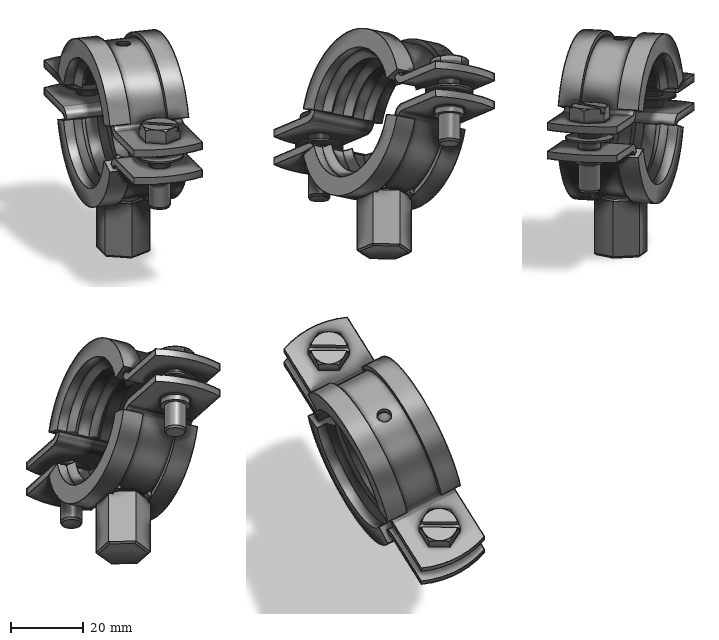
import cadquery as cq
import math


length = 81.5
band_width = 19.95
band_thickness = 2.0
band_outer_radius = 22.0
lug_half_gap = 3.0
lug_tip_rise = 2.0
bend_inner_radius = 1.7
center_hole_diameter = 4.0
collar_diameter = 8.0
collar_height = 1.95
collar_flare = 0.3

liner_width = 23.0
liner_outer_radius = 23.5
liner_bore_radius = 18.2
rib_tip_radius = 16.0
rib_base_width = 3.4
rib_pitch = 6.9
lip_gap = 10.9

screw_spacing = 62.4
screw_diameter = 6.0
head_across_flats = 9.9
head_height = 4.0
head_chamfer_height = 0.5
slot_width = 1.6
slot_depth = 1.55
slot_angle = 60.0
screw_end_depth = 15.1
screw_end_chamfer_height = 0.65
screw_end_chamfer_inset = 0.3
washer_diameter = 13.2
washer_thickness = 0.5

boss_across_flats = 13.0
boss_bottom_depth = 38.5
boss_chamfer = 0.5
weld_radius = 0.8
weld_length = 13.0
weld_offset = 4.9
weld_depth = 21.7

half_length = length / 2
band_inner_radius = band_outer_radius - band_thickness
lug_top = lug_half_gap + band_thickness
bend_outer_radius = bend_inner_radius + band_thickness
bend_center_z = lug_top + bend_inner_radius
bend_center_distance = band_outer_radius + bend_inner_radius
end_angle = math.degrees(math.asin(bend_center_z / bend_center_distance))
bend_center_x = math.sqrt(bend_center_distance**2 - bend_center_z**2)
bend_middle_angle = (180 + end_angle + 270) / 2
hex_corner_ratio = 2 / math.sqrt(3)
screw_positions = [-screw_spacing / 2, screw_spacing / 2]


def polar(radius, angle, center=(0.0, 0.0)):
    """Point at a radius and an angle in degrees about a center."""
    turn = math.radians(angle)
    return (center[0] + radius * math.cos(turn), center[1] + radius * math.sin(turn))


def mirrored(point):
    """The same point on the other side of the Z axis."""
    return (-point[0], point[1])


def cylinder(diameter, bottom, top, x=0.0):
    """Upright cylinder between two heights."""
    return cq.Workplane("XY", origin=(x, 0, bottom)).circle(diameter / 2).extrude(top - bottom)


def hex_prism(across_flats, bottom, top, x=0.0):
    """Upright hexagonal prism with corners pointing along X."""
    corner_diameter = across_flats * hex_corner_ratio
    return cq.Workplane("XY", origin=(x, 0, bottom)).polygon(6, corner_diameter).extrude(top - bottom)


def turned_to_lower(body):
    """Turn an upper clamp part over to the lower side."""
    return body.rotate((0, 0, 0), (1, 0, 0), 180)


def make_band():
    """Upper half band: an arched strip that bends out into two flat lugs with rounded tips."""
    bend_center = (bend_center_x, bend_center_z)
    outer_end = polar(band_outer_radius, end_angle)
    inner_end = polar(band_inner_radius, end_angle)
    small_bend_middle = polar(bend_inner_radius, bend_middle_angle, bend_center)
    large_bend_middle = polar(bend_outer_radius, bend_middle_angle, bend_center)
    strip = (
        cq.Workplane("XZ")
        .moveTo(half_length, lug_half_gap)
        .lineTo(half_length, lug_top)
        .lineTo(bend_center_x, lug_top)
        .threePointArc(small_bend_middle, outer_end)
        .threePointArc((0, band_outer_radius), mirrored(outer_end))
        .threePointArc(mirrored(small_bend_middle), (-bend_center_x, lug_top))
        .lineTo(-half_length, lug_top)
        .lineTo(-half_length, lug_half_gap)
        .lineTo(-bend_center_x, lug_half_gap)
        .threePointArc(mirrored(large_bend_middle), mirrored(inner_end))
        .threePointArc((0, band_inner_radius), inner_end)
        .threePointArc(large_bend_middle, (bend_center_x, lug_half_gap))
        .close()
        .extrude(band_width / 2, both=True)
    )
    corner_x = half_length - lug_tip_rise
    half_width = band_width / 2
    plan = (
        cq.Workplane("XY")
        .moveTo(-corner_x, -half_width)
        .lineTo(corner_x, -half_width)
        .threePointArc((half_length, 0), (corner_x, half_width))
        .lineTo(-corner_x, half_width)
        .threePointArc((-half_length, 0), (-corner_x, -half_width))
        .close()
        .extrude(band_outer_radius)
    )
    return strip.intersect(plan)


def make_upper_band():
    """Upper band with its center hole and plain screw holes."""
    band = make_band().cut(cylinder(center_hole_diameter, 0, band_outer_radius))
    for x in screw_positions:
        band = band.cut(cylinder(screw_diameter, 0, lug_top, x))
    return band


def make_lower_band():
    """Lower band with a flared collar round each screw hole on the far side of the lug."""
    band = turned_to_lower(make_band())
    collar_bottom = -lug_top - collar_height
    for x in screw_positions:
        collar = cylinder(collar_diameter, collar_bottom, -lug_top, x)
        flare = (
            cq.Workplane("XY", origin=(x, 0, -lug_top))
            .circle(collar_diameter / 2 + collar_flare)
            .workplane(offset=-collar_flare)
            .circle(collar_diameter / 2)
            .loft()
        )
        band = band.union(collar).union(flare)
        band = band.cut(cylinder(screw_diameter, collar_bottom, 0, x))
    return band


def make_upper_liner():
    """Upper rubber liner: ribbed bore, with lips that wrap round both edges of the band."""
    half_width = liner_width / 2
    half_base = rib_base_width / 2
    outline = cq.Workplane("XY").moveTo(liner_bore_radius, -half_width)
    for center in [-rib_pitch, 0, rib_pitch]:
        outline = (
            outline.lineTo(liner_bore_radius, center - half_base)
            .lineTo(rib_tip_radius, center)
            .lineTo(liner_bore_radius, center + half_base)
        )
    outline = (
        outline.lineTo(liner_bore_radius, half_width)
        .lineTo(liner_outer_radius, half_width)
        .lineTo(liner_outer_radius, lip_gap / 2)
        .lineTo(band_outer_radius, lip_gap / 2)
        .lineTo(band_outer_radius, band_width / 2)
        .lineTo(band_inner_radius, band_width / 2)
        .lineTo(band_inner_radius, -band_width / 2)
        .lineTo(band_outer_radius, -band_width / 2)
        .lineTo(band_outer_radius, -lip_gap / 2)
        .lineTo(liner_outer_radius, -lip_gap / 2)
        .lineTo(liner_outer_radius, -half_width)
        .close()
    )
    arch = outline.revolve(180 - 2 * end_angle, (0, 0, 0), (0, -1, 0))
    return arch.rotate((0, 0, 0), (0, -1, 0), end_angle)


def make_screw(x):
    """Slotted hexagon head screw standing on the upper lug."""
    head_top = lug_top + head_height
    chamfered_round = (
        cylinder(head_across_flats * hex_corner_ratio, lug_top, head_top, x)
        .faces(">Z")
        .chamfer(head_chamfer_height, head_across_flats * (hex_corner_ratio - 1) / 2)
    )
    head = hex_prism(head_across_flats, lug_top, head_top, x).intersect(chamfered_round)
    slot = (
        cq.Workplane("XY", origin=(x, 0, head_top - slot_depth))
        .transformed(rotate=(0, 0, slot_angle))
        .rect(2 * head_across_flats, slot_width)
        .extrude(slot_depth)
    )
    shank = (
        cylinder(screw_diameter, -screw_end_depth, lug_top, x)
        .faces("<Z")
        .chamfer(screw_end_chamfer_height, screw_end_chamfer_inset)
    )
    return head.cut(slot).union(shank)


def make_washer(x):
    """Thin retaining washer on the screw, midway between the lugs."""
    half_thickness = washer_thickness / 2
    disc = cylinder(washer_diameter, -half_thickness, half_thickness, x)
    return disc.cut(cylinder(screw_diameter, -half_thickness, half_thickness, x))


def make_boss():
    """Hexagonal connection boss under the lower band, with two weld beads that join it to the band."""
    boss = hex_prism(boss_across_flats, -boss_bottom_depth, -band_outer_radius)
    boss = boss.faces("<Z or >Z").chamfer(boss_chamfer)
    band_space = cq.Workplane("XZ").circle(band_outer_radius).extrude(liner_width / 2, both=True)
    for y in [-weld_offset, weld_offset]:
        bead = (
            cq.Workplane("YZ")
            .center(y, -weld_depth)
            .circle(weld_radius)
            .extrude(weld_length / 2, both=True)
        )
        boss = boss.union(bead.cut(band_space))
    lip_space = cq.Workplane("XZ").circle(liner_outer_radius).extrude(liner_width / 2, both=True)
    groove = cq.Workplane("XY").box(length, lip_gap, length)
    return boss.cut(lip_space.cut(groove))


upper_band = make_upper_band()
lower_band = make_lower_band()
upper_liner = make_upper_liner()
lower_liner = turned_to_lower(upper_liner)
boss = make_boss()
screws = [make_screw(x).val() for x in screw_positions]
washers = [make_washer(x).val() for x in screw_positions]

result = cq.Compound.makeCompound([
    upper_band.val(),
    lower_band.val(),
    upper_liner.val(),
    lower_liner.val(),
    boss.val(),
    *screws,
    *washers,
])